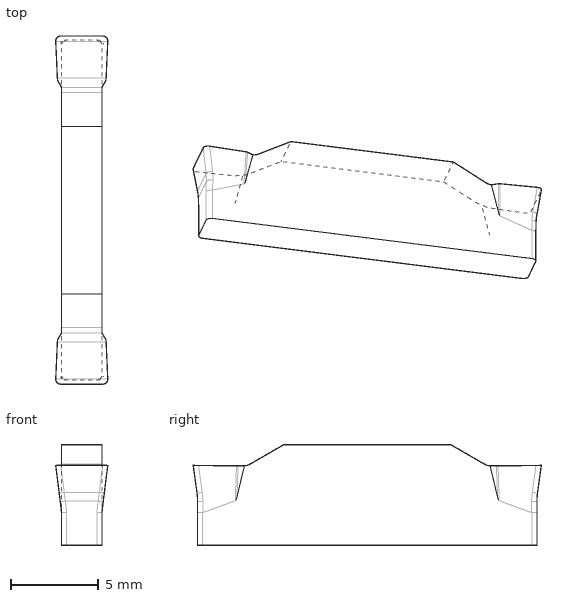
import cadquery as cq
import math


length = 19.98
height = 5.78
edge_width = 3.03
body_width = 2.33

crest_half_length = 4.8
ramp_angle = 30
ramp_fillet = 0.6
neck_z = 4.58
neck_end_y = 7.56
rake_rise = 0.01
land_length = 0.31
land_rise = 0.02
edge_z = neck_z + rake_rise + land_rise

front_clearance_angle = 7.8
side_clearance_angle = 6.8
front_blend = 3.6
relief_drop = 1.82
corner_radius = 0.3

back_taper_angle = 2.5
head_rear_y = 7.45
rear_angle = 60
rear_blend = 0.2

edge_y = length / 2
land_y = edge_y - land_length
front_clearance_slope = math.tan(math.radians(front_clearance_angle))
relief_z = edge_z - relief_drop
end_face_y = edge_y - relief_drop * front_clearance_slope
ramp_foot_y = crest_half_length + (height - neck_z) / math.tan(math.radians(ramp_angle))


def corner_selector(y, z):
    """Select the crosswise edge of the outline that passes through (y, z)."""
    margin = 0.01
    return cq.selectors.BoxSelector(
        (-edge_width, y - margin, z - margin),
        (edge_width, y + margin, z + margin),
    )


def make_side_profile():
    """Half of the lengthwise outline, at full head width, from the middle to the +Y end."""
    land_mid = ((land_y + edge_y) / 2, neck_z + rake_rise + land_rise / 4)
    half = (
        cq.Workplane("YZ")
        .lineTo(end_face_y, 0)
        .lineTo(end_face_y, relief_z)
        .lineTo(edge_y, edge_z)
        .threePointArc(land_mid, (land_y, neck_z + rake_rise))
        .lineTo(neck_end_y, neck_z)
        .lineTo(ramp_foot_y, neck_z)
        .lineTo(crest_half_length, height)
        .lineTo(0, height)
        .close()
        .extrude(edge_width, both=True)
    )
    half = half.edges(corner_selector(ramp_foot_y, neck_z)).fillet(ramp_fillet)
    return half.edges(corner_selector(end_face_y, relief_z)).fillet(front_blend)


def make_head_envelope():
    """Tapered block that bounds the sides and turn-in of the +Y head; it overruns the end."""
    overrun = 1.0
    overrun_y = edge_y + overrun
    taper_slope = math.tan(math.radians(back_taper_angle))
    front_x = edge_width / 2 + overrun * taper_slope
    rear_x = edge_width / 2 - (edge_y - head_rear_y) * taper_slope
    inner_x = body_width / 4
    inner_y = head_rear_y - (rear_x - inner_x) * math.tan(math.radians(rear_angle))
    envelope = (
        cq.Workplane("XY", origin=(0, 0, edge_z))
        .polyline([
            (front_x, overrun_y),
            (rear_x, head_rear_y),
            (inner_x, inner_y),
            (-inner_x, inner_y),
            (-rear_x, head_rear_y),
            (-front_x, overrun_y),
        ])
        .close()
        .extrude(-edge_z, taper=side_clearance_angle)
    )
    margin = 0.5
    for side in (-1, 1):
        turn_in_edge = cq.selectors.BoxSelector(
            (side * (rear_x - margin), head_rear_y - margin, margin),
            (side * rear_x, head_rear_y + margin, edge_z - margin),
        )
        envelope = envelope.edges(turn_in_edge).fillet(rear_blend)
    return envelope


def round_end_corners(half):
    """Round the upright corners between the end and the sides, from the bottom to the cutting edge."""
    margin = 0.05
    for side in (-1, 1):
        corner = cq.selectors.BoxSelector(
            (side * (body_width / 2 - margin), end_face_y - margin, 0),
            (side * (edge_width / 2 + margin), edge_y, edge_z - margin),
        )
        half = half.edges(corner).fillet(corner_radius)
    return half


def make_part():
    slab = cq.Workplane("XY").box(body_width, length, height, centered=(True, True, False))
    envelope = slab.union(make_head_envelope())
    half = round_end_corners(make_side_profile().intersect(envelope))
    return half.union(half.mirror("XZ"))


result = make_part()